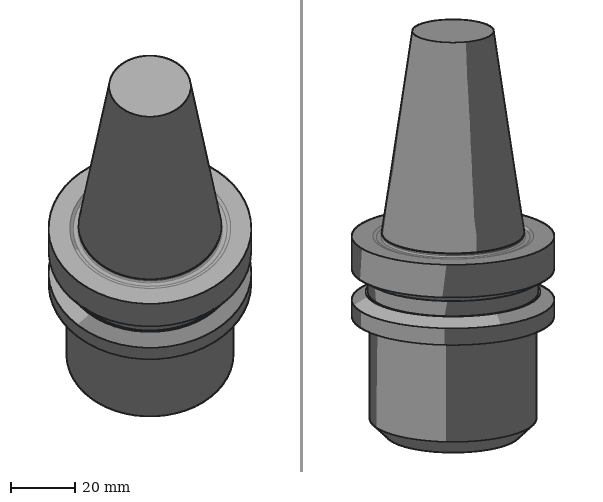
import cadquery as cq
import math


gauge_diameter = 44.45
taper_ratio = 7 / 24
taper_length = 65.4
gauge_height = 65.0
overall_height = gauge_height + taper_length
gauge_radius = gauge_diameter / 2
tip_radius = gauge_radius - taper_length * taper_ratio / 2

neck_diameter = 43.85
neck_fillet = 0.5
neck_radius = neck_diameter / 2
neck_top = gauge_height - (gauge_radius - neck_radius)

flange_diameter = 62.98
gauge_to_flange_top = 1.0
gauge_to_flange_bottom = 27.0
flange_top = gauge_height - gauge_to_flange_top
flange_bottom = gauge_height - gauge_to_flange_bottom
flange_radius = flange_diameter / 2

recess_diameter = 50.0
recess_floor_diameter = 47.75
recess_depth = 0.3
recess_floor = flange_top - recess_depth

gauge_to_groove_center = 16.6
groove_center = gauge_height - gauge_to_groove_center
groove_mouth_width = 10.0
groove_floor_width = 5.0
groove_floor_diameter = 53.0
flank_angle = math.radians(30)

nose_diameter = 52.0
nose_chamfer = 5.0
nose_radius = nose_diameter / 2


def revolve_about_z(outline):
    """Revolve a closed outline, drawn as (radius, height), about the Z axis."""
    return outline.revolve(360, (0, 0), (0, 1))


def make_body():
    """Nose, flange, recess, neck and taper in one revolved outline."""
    fillet_center_radius = neck_radius + neck_fillet
    fillet_center_height = recess_floor + neck_fillet
    fillet_offset = neck_fillet * math.sqrt(0.5)
    fillet_middle = (fillet_center_radius - fillet_offset, fillet_center_height - fillet_offset)

    outline = (
        cq.Workplane("XZ")
        .moveTo(0, 0)
        .lineTo(nose_radius - nose_chamfer, 0)
        .lineTo(nose_radius, nose_chamfer)
        .lineTo(nose_radius, flange_bottom)
        .lineTo(flange_radius, flange_bottom)
        .lineTo(flange_radius, flange_top)
        .lineTo(recess_diameter / 2, flange_top)
        .lineTo(recess_floor_diameter / 2, recess_floor)
        .lineTo(fillet_center_radius, recess_floor)
        .threePointArc(fillet_middle, (neck_radius, fillet_center_height))
        .lineTo(neck_radius, neck_top)
        .lineTo(gauge_radius, gauge_height)
        .lineTo(tip_radius, overall_height)
        .lineTo(0, overall_height)
        .close()
    )
    return revolve_about_z(outline)


def make_groove():
    """Ring that cuts the gripper groove: sloped flanks, then a straight-sided floor."""
    floor_radius = groove_floor_diameter / 2
    half_mouth = groove_mouth_width / 2
    half_floor = groove_floor_width / 2
    flank_end_radius = flange_radius - (half_mouth - half_floor) / math.tan(flank_angle)
    points = [
        (flange_radius, groove_center - half_mouth),
        (flange_radius, groove_center + half_mouth),
        (flank_end_radius, groove_center + half_floor),
        (floor_radius, groove_center + half_floor),
        (floor_radius, groove_center - half_floor),
        (flank_end_radius, groove_center - half_floor),
    ]
    return revolve_about_z(cq.Workplane("XZ").polyline(points).close())


result = make_body().cut(make_groove())